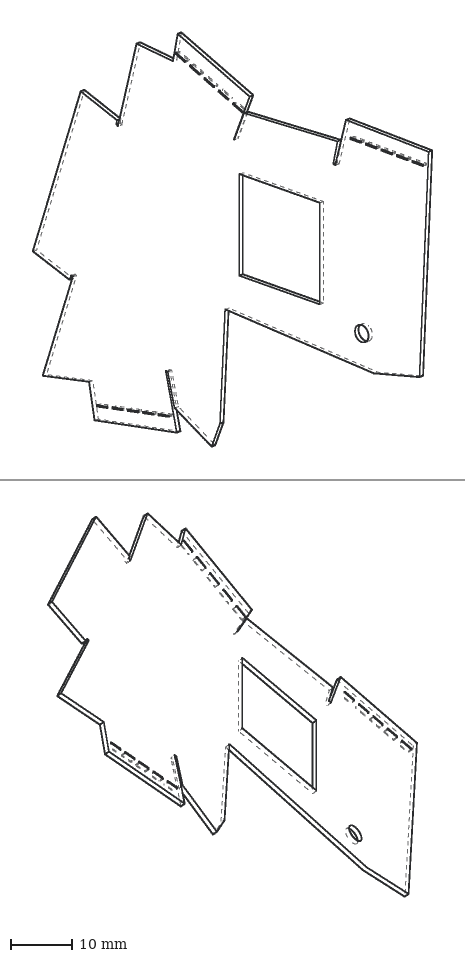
import cadquery as cq
import math

thickness = 0.9

window_side = 18.0
window_center = (55.3, 43.8)
hole_diameter = 3.0
hole_center = (73.7, 32.3)

slits_per_fold = 5
slit_length = 2.3
slit_width = 0.3

fold_lines = [
    ((33.1, 69.8), (45.95, 64.5)),
    ((72.3, 66.2), (86.2, 66.0)),
    ((15.5, 2.9), (29.3, 5.2)),
]

upper_tab = [(31.4, 68.65), (32.5, 73.8), (48.6, 67.2)]
upper_relief_cut = [(45.1, 58.6), (45.15, 58.6), (47.4, 63.95)]
right_relief_cut = [(68.3, 64.8), (67.3, 60.6), (67.8, 60.5)]
right_panel = [(70.2, 69.2), (88.7, 68.7), (86.7, 28.2), (76.5, 26.0), (43.1, 27.9)]
lower_flap = [(41.95, 7.4), (40.1, 2.75), (31.75, 7.3)]
lower_relief_cut = [(30.25, 13.3), (29.8, 13.3)]
lower_tab = [(32.3, 3.0), (13.8, 0.0), (12.6, 6.5)]
lower_left_point = [(2.2, 4.6)]
lower_left_notch = [(9.0, 24.1), (8.6, 24.2), (8.25, 23.3)]
left_flap = [(0.0, 26.1), (10.7, 57.5)]
upper_left_notch = [(18.9, 54.6), (18.7, 53.8), (19.1, 53.7)]
top_left_corner = [(23.2, 69.45)]

outline = (
    upper_tab + upper_relief_cut + right_relief_cut + right_panel
    + lower_flap + lower_relief_cut + lower_tab + lower_left_point
    + lower_left_notch + left_flap + upper_left_notch + top_left_corner
)


def sheet_sketch():
    """Sketch plane on the back face, extruding toward the front (-Y)."""
    return cq.Workplane("XZ", origin=(0, thickness, 0))


def fold_slits(first, last):
    """Row of through slits lined up between two slit centers."""
    run = last[0] - first[0]
    rise = last[1] - first[1]
    angle = math.degrees(math.atan2(rise, run))
    pitch = math.hypot(run, rise) / (slits_per_fold - 1)
    centers = [(i * pitch, 0) for i in range(slits_per_fold)]
    return (
        sheet_sketch()
        .center(*first)
        .transformed(rotate=(0, 0, angle))
        .pushPoints(centers)
        .rect(slit_length, slit_width)
        .extrude(thickness)
    )


sheet = sheet_sketch().polyline(outline).close().extrude(thickness)

window = sheet_sketch().center(*window_center).rect(window_side, window_side).extrude(thickness)
hole = sheet_sketch().center(*hole_center).circle(hole_diameter / 2).extrude(thickness)
sheet = sheet.cut(window).cut(hole)

for first_slit, last_slit in fold_lines:
    sheet = sheet.cut(fold_slits(first_slit, last_slit))

result = sheet